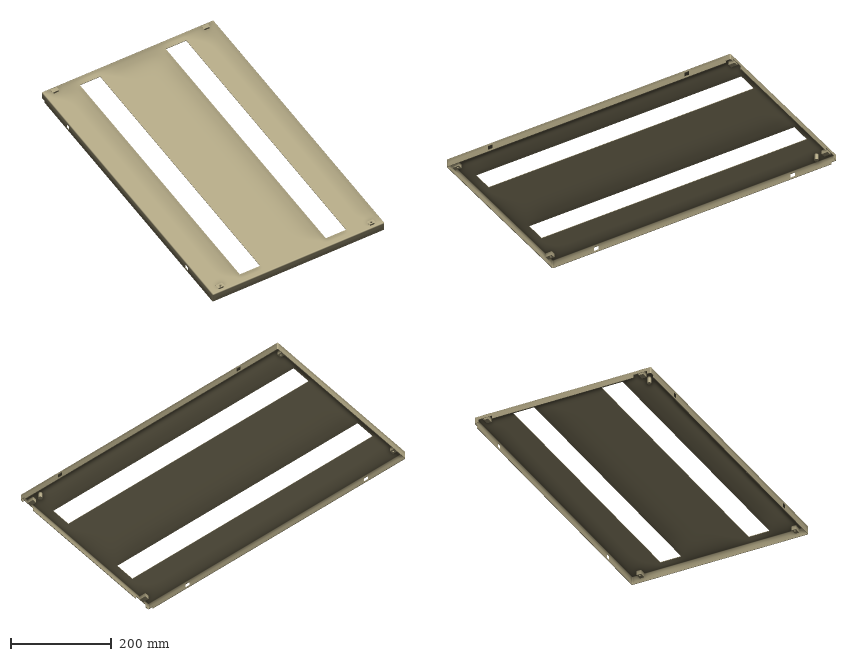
import cadquery as cq

length = 665.0
width = 398.0
cover_height = 19.0
sheet = 1.2
bend_radius = 2.4

slot_length = 621.0
slot_width = 47.0
slot_pitch = 199.0

window_length = 11.0
window_height = 9.0
window_pitch = 460.0
window_z = 8.5
hinge_rim_z = 4.5
corner_cut_length = 11.0
notch_length = 31.0
notch_height = 6.5
notch_from_side = 8.5

overall_height = 23.0
fastener_pitch = 349.0
head_inset = 6.5
head_length = 10.0
head_width = 14.5
head_thickness = 0.3
neck_width = 10.0
leg_width = 10.0
leg_bottom = 8.5

screw_diameter = 8.0
screw_bore = 3.0
screw_countersink = 6.0
countersink_angle = 90.0

stud_diameter = 8.5
stud_bottom = 4.5
stud_x = -299.0
stud_y = -177.0

underside = cover_height - sheet
head_bottom = overall_height - head_thickness
fastener_x = length / 2 - head_inset - head_length / 2
leg_outer_x = length / 2 - bend_radius
leg_inner_x = fastener_x - neck_width / 2
leg_length = leg_outer_x - leg_inner_x
fastener_ys = [-fastener_pitch / 2, fastener_pitch / 2]


def box(size_x, size_y, size_z, x, y, z):
    """Box centred on x and y, standing on z."""
    return cq.Workplane("XY").box(size_x, size_y, size_z, (True, True, False)).translate((x, y, z))


def cylinder(diameter, x, y, bottom, top):
    """Upright cylinder."""
    return cq.Workplane("XY", origin=(x, y, bottom)).circle(diameter / 2).extrude(top - bottom)


def make_tray():
    outside = box(length, width, cover_height, 0, 0, 0).edges("|Z or >Z").fillet(bend_radius)
    inside = box(length - 2 * sheet, width - 2 * sheet, underside, 0, 0, 0)
    inside = inside.edges("|Z or >Z").fillet(bend_radius - sheet)
    return outside.cut(inside)


def cut_slots(cover):
    for y in (-slot_pitch / 2, slot_pitch / 2):
        cover = cover.cut(box(slot_length, slot_width, cover_height, 0, y, 0))
    return cover


def cut_rims(cover):
    for x in (-window_pitch / 2, window_pitch / 2):
        cover = cover.cut(box(window_length, width, window_height, x, 0, window_z - window_height / 2))
    cover = cover.cut(box(2 * corner_cut_length, width, hinge_rim_z, -length / 2, 0, 0))
    notch_y = width / 2 - notch_from_side - notch_length / 2
    for y in (-notch_y, notch_y):
        cover = cover.cut(box(2 * bend_radius, notch_length, notch_height, -length / 2, y, hinge_rim_z))
    return cover


def make_fastener(side, y):
    """Fastener at the end of the cover on the given side: -1 or 1."""
    x = side * fastener_x
    leg_x = side * (leg_outer_x + leg_inner_x) / 2
    head = box(head_length, head_width, head_thickness, x, y, head_bottom)
    neck = box(neck_width, neck_width, head_bottom - underside, x, y, underside)
    leg = box(leg_length, leg_width, underside - leg_bottom, leg_x, y, leg_bottom)
    return head.union(neck).union(leg)


def make_screw_blank(y):
    """Round body of a screw, also the shape of its hole in the fastener."""
    return cylinder(screw_diameter, fastener_x, y, leg_bottom, overall_height)


def make_screw(y):
    """Screw with a countersunk bore from end to end."""
    top = make_screw_blank(y).faces(">Z").workplane()
    return top.cskHole(screw_bore, screw_countersink, countersink_angle)


def make_stud():
    return cylinder(stud_diameter, stud_x, stud_y, stud_bottom, underside)


cover = cut_rims(cut_slots(make_tray()))
hinge_fasteners = []
lock_fasteners = []
screws = []
for y in fastener_ys:
    hinge = make_fastener(-1, y)
    lock = make_fastener(1, y)
    cover = cover.cut(hinge).cut(lock)
    hinge_fasteners.append(hinge.val())
    lock_fasteners.append(lock.cut(make_screw_blank(y)).val())
    screws.append(make_screw(y).val())
stud = make_stud()

result = cq.Compound.makeCompound([cover.val(), *hinge_fasteners, *lock_fasteners, *screws, stud.val()])